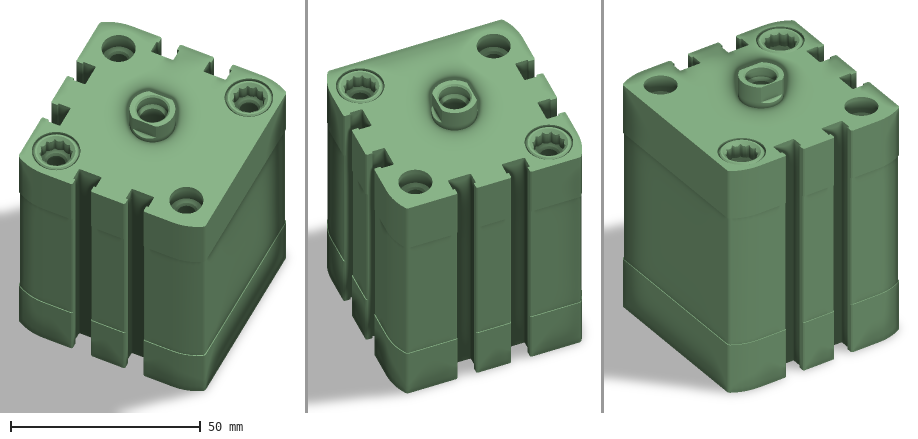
import cadquery as cq
import math

side = 54.5
total_height = 76.7
rod_stick_out = 6.6
housing_height = total_height - rod_stick_out

cap_height = 15.0
barrel_inset = 0.2
corner_arc_radius = 15.0
corner_fillet = 1.0

slot_offset = 7.7
slot_neck_width = 5.4
slot_inner_width = 6.6
slot_lip = 1.9
slot_depth = 5.5
slot_mouth_chamfer = 0.3
slot_floor_fillet = 0.3

hole_offset = 19.0
through_diameter = 4.9
hole_chamfer_diameter = 6.0
counterbore_diameter = 9.0
counterbore_depth = 4.9

socket_recess_diameter = 12.8
socket_head_diameter = 11.9
socket_head_chamfer = 0.4
socket_recess_depth = 1.0
socket_mouth_diameter = 10.1
spline_minor_diameter = 8.1
spline_major_diameter = 9.0
spline_teeth = 12
spline_tooth_angle = 12.0
socket_depth = 4.6

rod_diameter = 12.05
rod_length = rod_stick_out + cap_height
flat_distance = 10.0
flat_height = 4.7
flat_slope_drop = 0.5
rod_bore_diameter = 8.35
rod_bore_chamfer_diameter = 9.3
rod_bore_depth = 3.3
rod_hole_diameter = 6.7
rod_hole_depth = 15.35
drill_tip_angle = 118.0


def revolve_profile(points):
    """Revolve (radius, z) points about the Z axis."""
    return cq.Workplane("XZ").polyline(points).close().revolve(360, (0, 0), (0, 1))


def housing_slab(inset, base_z, height):
    """A length of the housing profile: flat sides joined by shallow corner arcs."""
    half = side / 2 - inset
    radius = corner_arc_radius - inset
    arc_run = half - hole_offset
    arc_angle = math.asin(arc_run / radius)
    corner_y = half - radius * (1 - math.cos(arc_angle))
    mid_x = hole_offset + radius * math.sin(arc_angle / 2)
    mid_y = half - radius * (1 - math.cos(arc_angle / 2))
    blank = (
        cq.Workplane("XY", origin=(0, 0, base_z))
        .moveTo(-hole_offset, half)
        .lineTo(hole_offset, half)
        .threePointArc((mid_x, mid_y), (half, corner_y))
        .lineTo(half, -corner_y)
        .threePointArc((mid_x, -mid_y), (hole_offset, -half))
        .lineTo(-hole_offset, -half)
        .threePointArc((-mid_x, -mid_y), (-half, -corner_y))
        .lineTo(-half, corner_y)
        .threePointArc((-mid_x, mid_y), (-hole_offset, half))
        .close()
        .extrude(height)
    )
    return blank.faces("<X or >X").edges("|Z").fillet(corner_fillet)


def t_slot_cutter(offset, inset, base_z, height):
    """A T-slot in the +Y side of one section, centred at X = offset."""
    outer = side / 2 - inset
    lip_end = side / 2 - slot_lip
    neck = slot_neck_width / 2
    inner = slot_inner_width / 2
    mouth = neck + slot_mouth_chamfer
    right_half = [
        (mouth, outer),
        (neck, outer - slot_mouth_chamfer),
        (neck, lip_end),
        (inner, lip_end),
        (inner, side / 2 - slot_depth),
    ]
    left_half = [(-x, y) for x, y in reversed(right_half)]
    return (
        cq.Workplane("XY", origin=(0, 0, base_z))
        .polyline(right_half + left_half)
        .close()
        .extrude(height)
        .faces("<Y")
        .edges("|Z")
        .fillet(slot_floor_fillet)
        .translate((offset, 0, 0))
    )


def corner_hole_cutter(floor_depth):
    """A through hole with its chamfer, starting at the floor of a wider recess."""
    floor_z = housing_height - floor_depth
    through_radius = through_diameter / 2
    chamfer_radius = hole_chamfer_diameter / 2
    return revolve_profile([
        (0, 0),
        (through_radius, 0),
        (through_radius, floor_z - (chamfer_radius - through_radius)),
        (chamfer_radius, floor_z),
        (0, floor_z),
    ])


def counterbored_cutter():
    """A corner hole with a flat-bottomed counterbore."""
    floor_z = housing_height - counterbore_depth
    counterbore = (
        cq.Workplane("XY", origin=(0, 0, floor_z)).circle(counterbore_diameter / 2).extrude(counterbore_depth)
    )
    return counterbore.union(corner_hole_cutter(counterbore_depth))


def spline_cutter():
    """A twelve-point bore: V grooves between teeth with flat tips."""
    minor = spline_minor_diameter / 2
    major = spline_major_diameter / 2
    pitch = 360 / spline_teeth
    points = []
    for tooth in range(spline_teeth):
        groove_angle = tooth * pitch
        for radius, angle in (
            (major, groove_angle),
            (minor, groove_angle + (pitch - spline_tooth_angle) / 2),
            (minor, groove_angle + (pitch + spline_tooth_angle) / 2),
        ):
            turn = math.radians(angle)
            points.append((radius * math.cos(turn), radius * math.sin(turn)))
    floor_z = housing_height - socket_depth
    return cq.Workplane("XY", origin=(0, 0, floor_z)).polyline(points).close().extrude(socket_depth)


def socket_cutter():
    """Ring groove around a chamfered head, conical mouth, splined bore and through hole."""
    top = housing_height
    recess = socket_recess_diameter / 2
    head = socket_head_diameter / 2
    mouth = socket_mouth_diameter / 2
    ring_groove = revolve_profile([
        (head - socket_head_chamfer, top),
        (recess, top),
        (recess, top - socket_recess_depth),
        (head, top - socket_recess_depth),
        (head, top - socket_head_chamfer),
    ])
    bore = spline_minor_diameter / 2
    mouth_end = top - (mouth - bore)
    conical_mouth = revolve_profile([(0, top), (mouth, top), (bore, mouth_end), (0, mouth_end)])
    return (
        conical_mouth
        .union(spline_cutter())
        .union(corner_hole_cutter(socket_depth))
        .union(ring_groove)
    )


def housing_section(inset, base_z, height):
    """One housing section with its slots; the +X side stays plain."""
    section = housing_slab(inset, base_z, height)
    for side_angle in (0, 90, 180):
        for offset in (-slot_offset, slot_offset):
            slot = t_slot_cutter(offset, inset, base_z, height)
            section = section.cut(slot.rotate((0, 0, 0), (0, 0, 1), side_angle))
    return section


def rod_blank():
    """The full rod cylinder, which also sets the matching hole in the housing."""
    base = cq.Workplane("XY", origin=(0, 0, total_height - rod_length))
    return base.circle(rod_diameter / 2).extrude(rod_length)


def make_housing():
    """The slotted housing with its corner holes and the hole that holds the rod."""
    barrel_height = housing_height - 2 * cap_height
    body = (
        housing_section(0, 0, cap_height)
        .union(housing_section(barrel_inset, cap_height, barrel_height))
        .union(housing_section(0, housing_height - cap_height, cap_height))
    )
    for sign in (-1, 1):
        place = sign * hole_offset
        body = body.cut(socket_cutter().translate((place, place, 0)))
        body = body.cut(counterbored_cutter().translate((place, -place, 0)))
    return body.cut(rod_blank())


def flat_cutter():
    """Removes a wrench flat on the +Y side of the rod, with a sloped run-out."""
    inner = flat_distance / 2
    outer = rod_diameter / 2
    flat_end = total_height - flat_height
    return (
        cq.Workplane("YZ")
        .polyline([
            (inner, total_height),
            (inner, flat_end),
            (outer, flat_end - flat_slope_drop),
            (outer, total_height),
        ])
        .close()
        .extrude(outer, both=True)
    )


def make_rod():
    """The piston rod with two wrench flats and a stepped, drilled bore."""
    body = rod_blank()
    for side_angle in (0, 180):
        body = body.cut(flat_cutter().rotate((0, 0, 0), (0, 0, 1), side_angle))
    top = total_height
    rim = rod_bore_chamfer_diameter / 2
    bore = rod_bore_diameter / 2
    hole = rod_hole_diameter / 2
    tip_height = hole / math.tan(math.radians(drill_tip_angle / 2))
    stepped_bore = revolve_profile([
        (0, top),
        (rim, top),
        (bore, top - (rim - bore)),
        (bore, top - rod_bore_depth),
        (hole, top - rod_bore_depth - (bore - hole)),
        (hole, top - rod_hole_depth),
        (0, top - rod_hole_depth - tip_height),
    ])
    return body.cut(stepped_bore)


housing = make_housing()
piston_rod = make_rod()

result = cq.Compound.makeCompound([housing.val(), piston_rod.val()])